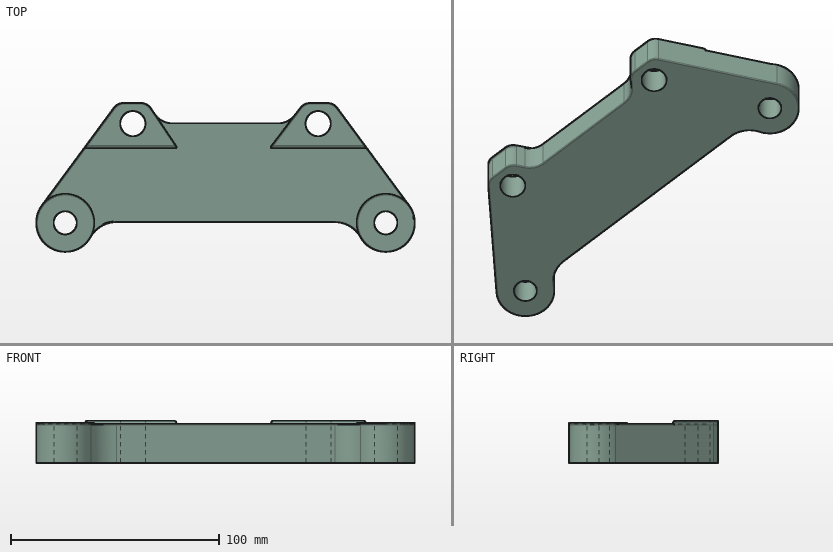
import cadquery as cq
import math

plate_height = 19.0
boss_height = 19.5
pad_height = 20.5

boss_spacing = 154.0
boss_radius = 14.0
boss_hole_diameter = 11.0

tab_spacing = 89.0
tab_hole_diameter = 12.0
tab_hole_y = 47.67
tab_end_margin = 10.0
tab_corner_radius = 6.0
outer_flank_angle = 53.6
pad_front_y = 35.9
pad_front_radius = pad_height - plate_height

left_inner_angle = 56.3
left_inner_offset = 13.6
right_inner_angle = 52.9
right_inner_offset = 14.3

front_edge_y = 0.3
back_edge_y = 47.9
front_fillet_radius = 14.0
back_fillet_radius = 10.0
edge_break = 0.5

inner_start = plate_height - edge_break

boss_x = boss_spacing / 2
tab_x = tab_spacing / 2
tab_end_y = tab_hole_y + tab_end_margin
both_sides = ((-1, left_inner_angle, left_inner_offset), (1, right_inner_angle, right_inner_offset))


def outer_flank_tangent(side):
    """Point where the outer flank leaves the boss circle."""
    angle = math.radians(outer_flank_angle)
    return (side * (boss_x + boss_radius * math.sin(angle)), boss_radius * math.cos(angle))


def outer_flank_point(side, y):
    """Point of the outer flank at the given y."""
    start_x, start_y = outer_flank_tangent(side)
    run = (y - start_y) / math.tan(math.radians(outer_flank_angle))
    return (start_x - side * run, y)


def inner_flank_point(side, angle, offset, y):
    """Point of the inner flank at the given y."""
    run = (y - tab_hole_y) / math.tan(math.radians(angle))
    return (side * (tab_x - offset + run), y)


def front_fillet_points(side):
    """Start on the front edge, middle, and end on the boss of the concave front arc."""
    centre_y = front_edge_y - front_fillet_radius
    reach = boss_radius + front_fillet_radius
    centre_dx = math.sqrt(reach**2 - centre_y**2)
    centre_x = boss_x - centre_dx
    end_angle = math.atan2(-centre_y, centre_dx)
    middle_angle = (math.pi / 2 + end_angle) / 2

    def on_arc(angle):
        x = centre_x + front_fillet_radius * math.cos(angle)
        return (side * x, centre_y + front_fillet_radius * math.sin(angle))

    return on_arc(math.pi / 2), on_arc(middle_angle), on_arc(end_angle)


def fillet_upright_edges(body, y, radius):
    """Round every vertical edge of the body that stands at the given y."""
    edges = body.edges("|Z").filter(lambda edge: math.isclose(edge.Center().y, y, abs_tol=1e-4))
    return edges.fillet(radius)


def make_plate():
    """Square-edged plate with the full outline."""
    left, right = both_sides
    left_start, left_middle, left_end = front_fillet_points(-1)
    right_start, right_middle, right_end = front_fillet_points(1)
    plate = (
        cq.Workplane("XY")
        .moveTo(*left_start)
        .threePointArc(left_middle, left_end)
        .threePointArc((-boss_x - boss_radius, 0), outer_flank_tangent(-1))
        .lineTo(*outer_flank_point(-1, tab_end_y))
        .lineTo(*inner_flank_point(*left, tab_end_y))
        .lineTo(*inner_flank_point(*left, back_edge_y))
        .lineTo(*inner_flank_point(*right, back_edge_y))
        .lineTo(*inner_flank_point(*right, tab_end_y))
        .lineTo(*outer_flank_point(1, tab_end_y))
        .lineTo(*outer_flank_tangent(1))
        .threePointArc((boss_x + boss_radius, 0), right_end)
        .threePointArc(right_middle, right_start)
        .close()
        .extrude(plate_height)
    )
    plate = fillet_upright_edges(plate, tab_end_y, tab_corner_radius)
    return fillet_upright_edges(plate, back_edge_y, back_fillet_radius)


def round_plate_edges(plate):
    """Round the plate all round, but keep the top edge between the tabs square."""
    rounded = plate.faces("<Z or >Z").edges().fillet(edge_break)
    between_tabs = (
        cq.Workplane("XY", origin=(0, tab_hole_y, inner_start))
        .rect(tab_spacing, 2 * tab_end_margin)
        .extrude(plate_height - inner_start)
    )
    return rounded.union(plate.intersect(between_tabs))


def make_pad(side, angle, offset):
    """Raised tab face, with a quarter-round front edge and lightly rounded other edges."""
    pad = (
        cq.Workplane("XY", origin=(0, 0, inner_start))
        .moveTo(*outer_flank_point(side, pad_front_y))
        .lineTo(*outer_flank_point(side, tab_end_y))
        .lineTo(*inner_flank_point(side, angle, offset, tab_end_y))
        .lineTo(*inner_flank_point(side, angle, offset, pad_front_y))
        .close()
        .extrude(pad_height - inner_start)
    )
    pad = fillet_upright_edges(pad, tab_end_y, tab_corner_radius)
    pad = pad.edges(">Z and <Y").fillet(pad_front_radius)
    return pad.faces(">Z").edges("not <Y").fillet(edge_break)


def make_boss(side):
    """Raised round boss with a lightly rounded rim."""
    boss = (
        cq.Workplane("XY", origin=(side * boss_x, 0, inner_start))
        .circle(boss_radius)
        .extrude(boss_height - inner_start)
    )
    return boss.faces(">Z").edges().fillet(edge_break)


def make_hole_pair(spacing, y, diameter):
    """Two through holes, symmetric about x = 0."""
    return (
        cq.Workplane("XY")
        .pushPoints([(-spacing / 2, y), (spacing / 2, y)])
        .circle(diameter / 2)
        .extrude(pad_height)
    )


result = round_plate_edges(make_plate())
for side, angle, offset in both_sides:
    result = result.union(make_pad(side, angle, offset))
    result = result.union(make_boss(side))
result = result.cut(make_hole_pair(boss_spacing, 0, boss_hole_diameter))
result = result.cut(make_hole_pair(tab_spacing, tab_hole_y, tab_hole_diameter))